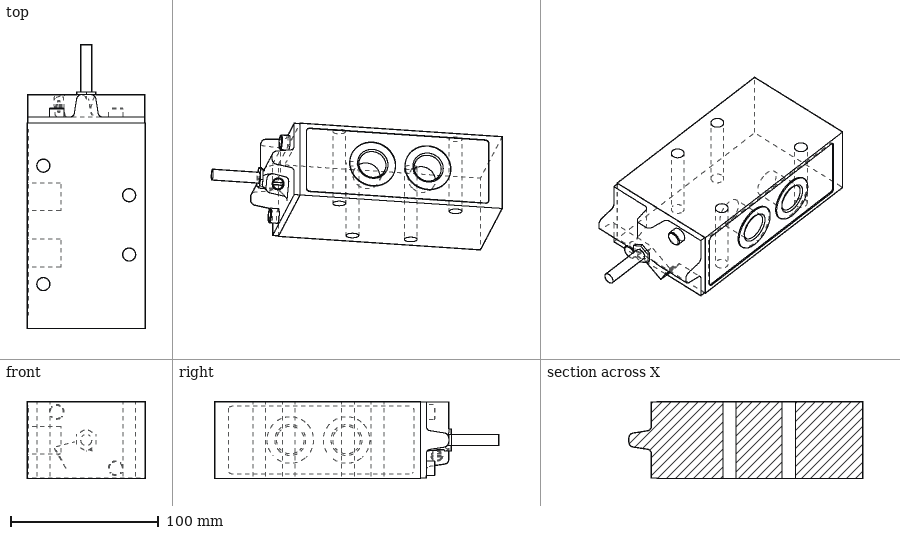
import cadquery as cq
import math

body_width = 80.0
body_height = 52.0
front_y = -96.0
body_end_y = 43.0
bolt_hole_diameter = 8.6
hole_pattern_y = -26.0
left_bolt_x, left_bolt_spacing = -29.0, 80.0
right_bolt_x, right_bolt_spacing = 29.0, 40.1

panel_front_y, panel_back_y = -86.8, 38.5
panel_height = 45.7
panel_corner_radius = 2.3
panel_depth = 1.0
port_spacing = 38.0
port_rim_diameter = 31.5
port_diameter = 18.6
port_chamfer = 1.2
port_depth = 23.0

cap_width = 79.1
cap_height = 51.6
cap_thickness = 4.0
cap_face_y = body_end_y + cap_thickness
arm_height = 15.2
arm_tip_y = cap_face_y + arm_height
arm_draft = 9.0
side_arm_half_width = 6.7
wide_arm_half_width = 8.5
arm_corner_radius = 5.0
arm_tip_radius = 3.6
arm_base_radius = 2.9
overrun = 9.6
edge_margin = 0.2

diagonal_angle = 30.0
diagonal_reach = 21.5
slot_screw_y = 54.1
slot_screw_hole_diameter = 8.0
slot_screw_diameter = 7.0
slot_screw_groove_depth = 0.4
slot_width = 1.7
slot_depth = 1.5

cap_screw_diameter = 10.0
cap_screw_height = 6.0
cap_screw_chamfer = 0.5
cap_screw_x, cap_screw_z = 20.0, 19.0

gland_flats = 13.0
gland_thickness = 1.7
cable_diameter = 7.5
cable_end_y = 96.0


def plane_facing_back(y):
    """Plane normal to +Y; its local axes are -X and +Z."""
    return cq.Plane(origin=(0, y, 0), xDir=(-1, 0, 0), normal=(0, 1, 0))


def cap_slab(width, height):
    plate = cq.Workplane(plane_facing_back(body_end_y)).rect(width, height)
    return plate.extrude(cap_thickness)


def box_around(x_half, z_half, y_low, y_high):
    """Selects the edges that lie wholly inside a box centred on the Y axis."""
    corner_low = (-x_half, y_low, -z_half)
    corner_high = (x_half, y_high, z_half)
    return cq.selectors.BoxSelector(corner_low, corner_high, boundingbox=True)


def drafted_arms(outline):
    return outline.extrude(arm_height, taper=arm_draft)


def blend_onto_plate(arms):
    """Round the tip of the arms and blend their foot into an oversized plate."""
    arms = arms.faces(">Y").edges().fillet(arm_tip_radius)
    plate_width = cap_width + 4 * overrun
    plate_height = cap_height + 4 * overrun
    arms = arms.union(cap_slab(plate_width, plate_height))
    feet = box_around(
        plate_width / 2 - overrun / 2,
        plate_height / 2 - overrun / 2,
        cap_face_y - edge_margin,
        cap_face_y + edge_margin,
    )
    return arms.edges(feet).fillet(arm_base_radius)


def make_body():
    length = body_end_y - front_y
    body = cq.Workplane("XY").box(body_width, length, body_height)
    body = body.translate((0, front_y + length / 2, 0))
    bolt_columns = (
        (left_bolt_x, left_bolt_spacing),
        (right_bolt_x, right_bolt_spacing),
    )
    for x, spacing in bolt_columns:
        for side in (-1, 1):
            y = hole_pattern_y + side * spacing / 2
            hole = cq.Workplane("XY").center(x, y).circle(bolt_hole_diameter / 2)
            body = body.cut(hole.extrude(body_height, both=True))
    return body


def cut_panel_and_ports(body):
    side_plane = cq.Plane(origin=(-body_width / 2, 0, 0), xDir=(0, -1, 0), normal=(-1, 0, 0))
    side = cq.Workplane(side_plane)
    panel_length = panel_back_y - panel_front_y
    panel_middle = (panel_back_y + panel_front_y) / 2
    panel = side.center(-panel_middle, 0).rect(panel_length, panel_height).extrude(-panel_depth)
    panel = panel.edges("|X").fillet(panel_corner_radius)
    ports = [(-hole_pattern_y + step * port_spacing / 2, 0) for step in (-1, 1)]
    rims = side.pushPoints(ports).circle(port_rim_diameter / 2).extrude(-panel_depth)
    body = body.cut(panel.cut(rims))
    bores = side.pushPoints(ports).circle(port_diameter / 2).extrude(-port_depth)
    mouth_radius = port_diameter / 2 + port_chamfer
    mouths = side.pushPoints(ports).circle(mouth_radius).extrude(-port_chamfer, taper=45)
    return body.cut(bores).cut(mouths)


def make_main_arms():
    """A bar across the whole width with one arm rising from its middle to the top."""
    bar_length = cap_width + 2 * overrun
    bar = cq.Workplane(plane_facing_back(cap_face_y)).rect(bar_length, 2 * side_arm_half_width)
    rise = cap_height / 2 + overrun
    riser = (
        cq.Workplane(plane_facing_back(cap_face_y))
        .center(0, rise / 2)
        .rect(2 * wide_arm_half_width, rise)
    )
    arms = drafted_arms(bar).union(drafted_arms(riser))
    inner_corners = box_around(
        wide_arm_half_width + edge_margin,
        side_arm_half_width + edge_margin,
        cap_face_y - edge_margin,
        arm_tip_y + edge_margin,
    )
    arms = arms.edges(inner_corners).fillet(arm_corner_radius)
    return blend_onto_plate(arms)


def make_diagonal_arm():
    """Built pointing along -X, then turned down about the Y axis."""
    length = diagonal_reach + overrun
    outline = (
        cq.Workplane(plane_facing_back(cap_face_y))
        .center(length / 2, 0)
        .rect(length, 2 * wide_arm_half_width)
    )
    arm = blend_onto_plate(drafted_arms(outline))
    beyond_end = (
        cq.Workplane(plane_facing_back(cap_face_y))
        .center(diagonal_reach + body_width / 2, 0)
        .rect(body_width, body_width)
        .extrude(arm_height)
    )
    arm = arm.cut(beyond_end)

    end_plane = cq.Plane(origin=(-diagonal_reach, slot_screw_y, 0), xDir=(0, -1, 0), normal=(-1, 0, 0))
    end = cq.Workplane(end_plane)
    groove = end.circle(slot_screw_hole_diameter / 2).circle(slot_screw_diameter / 2)
    groove = groove.extrude(-slot_screw_groove_depth)
    slot = end.rect(slot_screw_diameter, slot_width).extrude(-slot_depth)
    return arm.cut(groove).cut(slot).rotate((0, 0, 0), (0, 1, 0), -diagonal_angle)


def make_cap():
    trim = cq.Workplane(plane_facing_back(body_end_y)).rect(cap_width, cap_height)
    trim = trim.extrude(cap_thickness + arm_height)
    cap = make_main_arms().intersect(trim).union(make_diagonal_arm().intersect(trim))
    for side in (-1, 1):
        head = cq.Workplane(plane_facing_back(cap_face_y))
        head = head.center(-side * cap_screw_x, -side * cap_screw_z)
        head = head.circle(cap_screw_diameter / 2).extrude(cap_screw_height)
        cap = cap.union(head.faces(">Y").chamfer(cap_screw_chamfer))
    return cap


def make_gland_and_cable():
    corner_diameter = gland_flats / math.cos(math.pi / 6)
    root = cq.Workplane(plane_facing_back(cap_face_y))
    gland = root.transformed(rotate=(0, 0, 90)).polygon(6, corner_diameter)
    gland = gland.extrude(arm_height + gland_thickness)
    cable = root.circle(cable_diameter / 2).extrude(cable_end_y - cap_face_y)
    return gland.union(cable)


result = cut_panel_and_ports(make_body()).union(make_cap()).union(make_gland_and_cable())